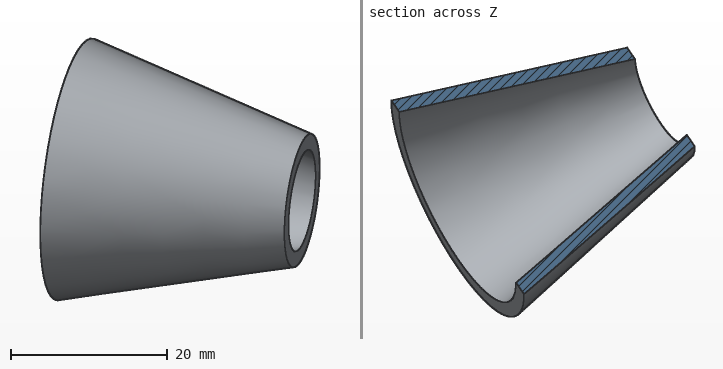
import cadquery as cq

length = 30.0
wide_diameter = 33.7
narrow_diameter = 17.2
wall = 2.05

wide_radius = wide_diameter / 2
narrow_radius = narrow_diameter / 2

wall_section = (
    cq.Workplane("XY")
    .moveTo(0, wide_radius)
    .lineTo(length, narrow_radius)
    .lineTo(length, narrow_radius - wall)
    .lineTo(0, wide_radius - wall)
    .close()
)

result = wall_section.revolve(360, (0, 0, 0), (1, 0, 0))